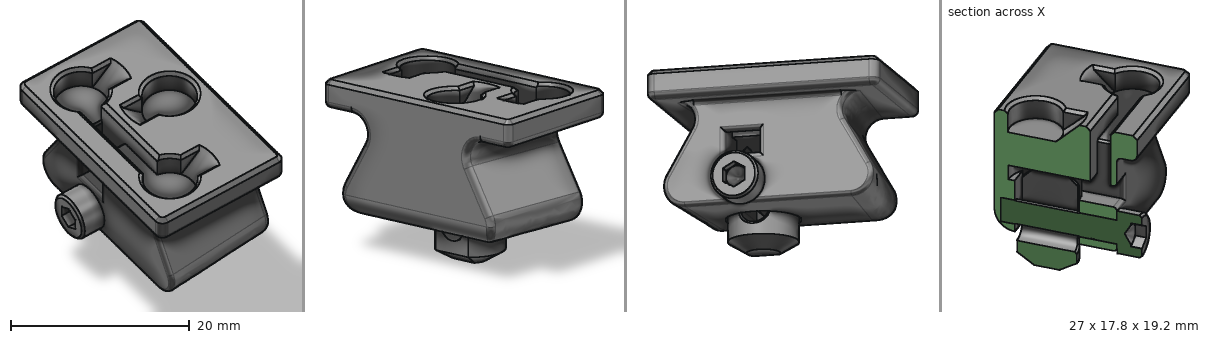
import cadquery as cq
import math

selection_margin = 0.02
edge_margin = 0.1

chamfer_angle = 45

plate_length = 27.03
plate_width = 17.25
plate_height = 3.3
plate_front_radius = 1.0
plate_back_radius = 0.75
plate_top_chamfer = 0.5
plate_bottom_radius = 0.8

foot_front = 2.43
foot_bottom = -15.35
foot_half_width = 12.23
foot_corner_radius = 2.5
foot_flare_angle = math.radians(30)
neck_radius = 2.05
foot_taper_angle = math.radians(5)
foot_front_radius = 0.5
foot_back_radius = 0.75
foot_heel_radius = 2.5

pocket_depth = 2.7
cup_radius = 3.1
cup_chamfer = 0.38
side_cup_x = 8.33
side_cup_y = 5.15
back_cup_x = -1.92
back_cup_y = 12.7
ramp_width = 3.1
ramp_end_radius = 5.85
groove_y = 4.45
groove_width = 2.4
groove_end_inset = 1.5
groove_chamfer = 0.5

window_x = -3.0
window_width = 4.05
window_top = -7.0
window_bottom = -9.65
window_radius = 0.5
shaft_chamfer = 0.25

pin_x = -3.0
pin_y = 11.28
pin_radius = 4.0
pin_flat_distance = 3.24
pin_shoulder_bottom = -17.9
pin_bottom = -19.18
pin_shoulder_top = -9.15
pin_head_taper = 45
pin_tip_inset = 2.1
pin_slot_width = 3.3
pin_slot_bottom = -16.4
pin_slot_chamfer = 0.25
bore_diameter = 8.5
bore_flat_top = -8.75
bore_clearance = bore_diameter / 2 - pin_radius

screw_x = -3.05
screw_z = -12.83
screw_diameter = 3.0
screw_length = 14.0
head_diameter = 5.5
head_height = 3.0
head_chamfer = 0.28
socket_sides = 6
socket_width = 2.55
socket_depth = 1.3
socket_drill_half_angle = math.radians(59)


def region(x_min, x_max, y_min, y_max, z_min, z_max):
    return cq.selectors.BoxSelector(
        (x_min - selection_margin, y_min - selection_margin, z_min - selection_margin),
        (x_max + selection_margin, y_max + selection_margin, z_max + selection_margin),
    )


def make_plate():
    plate = (
        cq.Workplane("XY")
        .box(plate_length, plate_width, plate_height, centered=(True, False, False))
        .translate((0, 0, -plate_height))
    )
    plate = plate.edges("|Z and <Y").fillet(plate_front_radius)
    plate = plate.edges("|Z and >Y").fillet(plate_back_radius)
    plate = plate.faces(">Z").edges().chamfer(plate_top_chamfer)
    return plate.faces("<Z").edges().fillet(plate_bottom_radius)


def make_foot():
    sine = math.sin(foot_flare_angle)
    cosine = math.cos(foot_flare_angle)
    corner_x = foot_half_width - foot_corner_radius
    corner_z = foot_bottom + foot_corner_radius
    flare_start = (corner_x + foot_corner_radius * cosine, corner_z + foot_corner_radius * sine)
    neck_z = -plate_height - neck_radius
    flare_rise = neck_z - neck_radius * sine - flare_start[1]
    flare_end = (flare_start[0] - flare_rise * math.tan(foot_flare_angle), flare_start[1] + flare_rise)
    neck_x = flare_end[0] + neck_radius * cosine
    middle_angle = (foot_flare_angle - math.pi / 2) / 2
    corner_middle = (
        corner_x + foot_corner_radius * math.cos(middle_angle),
        corner_z + foot_corner_radius * math.sin(middle_angle),
    )
    foot_top = -plate_height + plate_bottom_radius
    outline = (
        cq.Workplane("XZ", origin=(0, foot_front, 0))
        .moveTo(0, foot_bottom)
        .lineTo(corner_x, foot_bottom)
        .threePointArc(corner_middle, flare_start)
        .lineTo(*flare_end)
        .threePointArc((neck_x - neck_radius, neck_z), (neck_x, -plate_height))
        .lineTo(neck_x, foot_top)
        .lineTo(0, foot_top)
        .close()
    )
    foot_length = plate_width - foot_front
    sweep = cq.Vector(-foot_length * math.tan(foot_taper_angle), foot_length, 0)
    half = cq.Workplane(cq.Solid.extrudeLinear(outline.val(), [], sweep))
    foot = half.union(half.mirror("YZ")).clean()
    foot = foot.cut(make_heel_cutter())
    below_plate = -plate_height - edge_margin
    front_edges = region(-plate_length, plate_length, foot_front, foot_front, foot_bottom, below_plate)
    foot = foot.edges(front_edges).fillet(foot_front_radius)
    heel_front = plate_width - foot_heel_radius
    side_start = corner_x / 2
    left_edges = region(-plate_length, -side_start, heel_front, plate_width, foot_bottom, below_plate)
    right_edges = region(side_start, plate_length, heel_front, plate_width, foot_bottom, below_plate)
    foot = foot.edges(left_edges + right_edges).fillet(foot_back_radius)
    return foot.union(make_front_fillet(neck_x - neck_radius))


def make_front_fillet(half_width):
    middle = foot_front_radius * (1 - math.sqrt(0.5))
    return (
        cq.Workplane("YZ", origin=(-half_width, foot_front, -plate_height))
        .lineTo(-foot_front_radius, 0)
        .threePointArc((-middle, -middle), (0, -foot_front_radius))
        .close()
        .extrude(2 * half_width)
    )


def make_heel_cutter():
    blank = (
        cq.Workplane("XY")
        .box(plate_length, foot_heel_radius, foot_heel_radius)
        .translate((0, plate_width - foot_heel_radius / 2, foot_bottom + foot_heel_radius / 2))
    )
    round_bar = (
        cq.Workplane("YZ", origin=(-plate_length / 2, 0, 0))
        .center(plate_width - foot_heel_radius, foot_bottom + foot_heel_radius)
        .circle(foot_heel_radius)
        .extrude(plate_length)
    )
    return blank.cut(round_bar)


def make_chamfered_slot(x, y, length_x, length_y, chamfer):
    floor = cq.Workplane("XY", origin=(x, y, -pocket_depth)).rect(length_x, length_y)
    slot = floor.extrude(pocket_depth)
    mouth = (
        cq.Workplane("XY", origin=(x, y, 0))
        .rect(length_x + 2 * chamfer, length_y + 2 * chamfer)
        .extrude(-chamfer, taper=chamfer_angle)
    )
    return slot.union(mouth)


def make_cup(x, y, ramp_direction):
    cup = (
        cq.Workplane("XZ")
        .lineTo(0, -pocket_depth)
        .lineTo(cup_radius, -pocket_depth)
        .lineTo(cup_radius, -cup_chamfer)
        .lineTo(cup_radius + cup_chamfer, 0)
        .close()
        .revolve(360, (0, 0, 0), (0, 1, 0))
    )
    cone = (
        cq.Workplane("XZ")
        .lineTo(0, -pocket_depth)
        .lineTo(cup_radius, -pocket_depth)
        .lineTo(ramp_end_radius, 0)
        .close()
        .revolve(360, (0, 0, 0), (0, 1, 0))
    )
    ramp_length = 2 * ramp_end_radius
    channel = make_chamfered_slot(0, ramp_direction * ramp_length / 2, ramp_width, ramp_length, cup_chamfer)
    return cup.union(cone.intersect(channel)).translate((x, y, 0))


def make_shaft():
    shaft = (
        cq.Workplane("XY", origin=(window_x, groove_y, window_bottom))
        .rect(window_width, groove_width)
        .extrude(-pocket_depth - window_bottom)
    )
    half_width = window_width / 2
    mouth = (
        cq.Workplane("XZ", origin=(window_x, groove_y + groove_width / 2, -pocket_depth))
        .moveTo(-half_width - shaft_chamfer, 0)
        .lineTo(half_width + shaft_chamfer, 0)
        .lineTo(half_width, -shaft_chamfer)
        .lineTo(-half_width, -shaft_chamfer)
        .close()
        .extrude(groove_width)
    )
    return shaft.union(mouth)


def make_window():
    return (
        cq.Workplane("XZ", origin=(window_x, foot_front, (window_top + window_bottom) / 2))
        .rect(window_width, window_top - window_bottom)
        .extrude(foot_front - pin_y)
    )


def flatted_round(z, radius, flat_distance):
    flat_half = math.sqrt(radius**2 - flat_distance**2)
    return (
        cq.Workplane("XY", origin=(pin_x, pin_y, z))
        .moveTo(-flat_half, flat_distance)
        .threePointArc((0, -radius), (flat_half, flat_distance))
        .close()
    )


def make_bore():
    lower = flatted_round(foot_bottom, bore_diameter / 2, pin_flat_distance + bore_clearance)
    lower = lower.extrude(bore_flat_top - foot_bottom)
    upper = (
        cq.Workplane("XY", origin=(pin_x, pin_y, bore_flat_top))
        .circle(bore_diameter / 2)
        .extrude(window_top - bore_flat_top)
    )
    return lower.union(upper)


def make_shank():
    return (
        cq.Workplane("XZ", origin=(screw_x, foot_front, screw_z))
        .circle(screw_diameter / 2)
        .extrude(-screw_length)
    )


def make_housing():
    housing = make_plate().union(make_foot())
    housing = housing.cut(make_window())
    window_left = window_x - window_width / 2
    window_rim = region(
        window_left, window_left + window_width, foot_front, foot_front, window_bottom, window_top
    )
    housing = housing.edges(window_rim).fillet(window_radius)

    for side in (-1, 1):
        housing = housing.cut(make_cup(side * side_cup_x, side_cup_y, 1))
    housing = housing.cut(make_cup(back_cup_x, back_cup_y, -1))
    groove_length = 2 * (side_cup_x - groove_end_inset)
    housing = housing.cut(make_chamfered_slot(0, groove_y, groove_length, groove_width, groove_chamfer))
    housing = housing.cut(make_shaft())
    housing = housing.cut(make_bore())
    return housing.cut(make_shank())


def make_pin():
    pin = flatted_round(pin_shoulder_bottom, pin_radius, pin_flat_distance)
    pin = pin.extrude(pin_shoulder_top - pin_shoulder_bottom)
    tip_taper = math.degrees(math.atan2(pin_tip_inset, pin_shoulder_bottom - pin_bottom))
    tip = flatted_round(pin_shoulder_bottom, pin_radius, pin_flat_distance)
    pin = pin.union(tip.extrude(pin_bottom - pin_shoulder_bottom, taper=tip_taper))
    head = flatted_round(pin_shoulder_top, pin_radius, pin_flat_distance)
    pin = pin.union(head.extrude(window_top - pin_shoulder_top, taper=pin_head_taper))

    slot_radius = pin_slot_width / 2
    slot_center_z = pin_slot_bottom + slot_radius
    slot = (
        cq.Workplane("XZ", origin=(screw_x, pin_y - bore_diameter, 0))
        .moveTo(-slot_radius, window_top)
        .lineTo(-slot_radius, slot_center_z)
        .threePointArc((0, pin_slot_bottom), (slot_radius, slot_center_z))
        .lineTo(slot_radius, window_top)
        .close()
        .extrude(-2 * bore_diameter)
    )
    pin = pin.cut(slot)
    slot_rim = region(
        screw_x - slot_radius, screw_x + slot_radius, pin_y - pin_radius, pin_y - pin_radius / 2,
        pin_slot_bottom, pin_shoulder_top - pin_slot_chamfer,
    )
    return pin.edges(slot_rim).chamfer(pin_slot_chamfer)


def make_screw():
    head = (
        cq.Workplane("XZ", origin=(screw_x, foot_front, screw_z))
        .circle(head_diameter / 2)
        .extrude(head_height)
        .faces("<Y")
        .edges()
        .chamfer(head_chamfer)
    )
    socket = (
        cq.Workplane("XZ", origin=(screw_x, foot_front - head_height, screw_z))
        .polygon(socket_sides, socket_width / math.cos(math.pi / socket_sides))
        .extrude(-socket_depth)
        .rotate((screw_x, 0, screw_z), (screw_x, 1, screw_z), 180 / socket_sides)
    )
    drill_radius = socket_width / 2
    drill_tip = (
        cq.Workplane("XY", origin=(screw_x, foot_front - head_height + socket_depth, screw_z))
        .lineTo(drill_radius, 0)
        .lineTo(0, drill_radius / math.tan(socket_drill_half_angle))
        .close()
        .revolve(360, (0, 0, 0), (0, 1, 0))
    )
    return head.union(make_shank()).cut(socket).cut(drill_tip)


housing = make_housing()
pin = make_pin()
screw = make_screw()

result = cq.Compound.makeCompound([housing.val(), pin.val(), screw.val()])